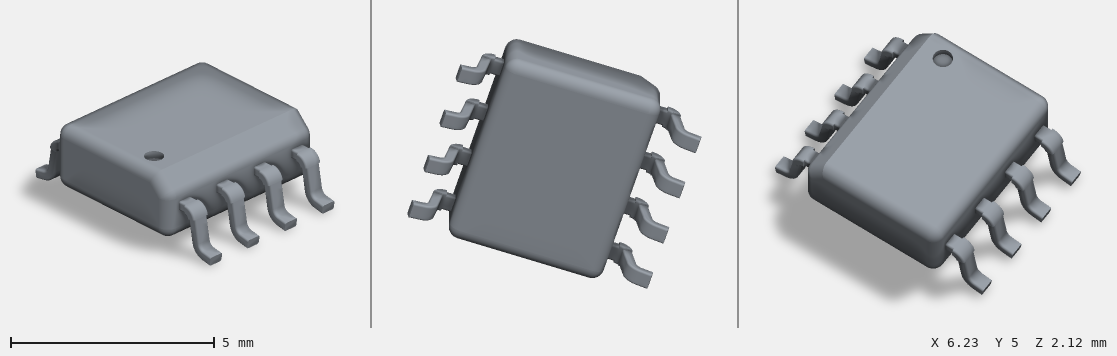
import cadquery as cq
import math

BODY_X = 3.99
BODY_Y = 5.0
BODY_Z = 1.745
BODY_ROUND = 0.3
BEVEL = 0.5

MARK_DIAMETER = 0.5
MARK_DEPTH = 0.2
MARK_X = 0.865
MARK_Y = -1.875

LEAD_SPAN = 6.23
STANDOFF = 0.375
LEADS_PER_SIDE = 4
LEAD_PITCH = 1.27
LEAD_THICKNESS = 0.25
LEAD_WIDTH = 0.4
SHOULDER_WIDTH = 0.5
LEAD_ROUND = 0.05
LEAD_Z = 0.88
STUB_LENGTH = 0.235
SHOULDER_INNER_RADIUS = 0.1
ANKLE_INNER_RADIUS = 0.19
LEAN = 10.0
ROOT_DEPTH = 0.125


def make_body():
    """Rounded block with a bevel along its top +X edge; the upper bevel edge stays sharp."""
    block = cq.Workplane("XY").box(BODY_X, BODY_Y, BODY_Z, centered=(True, True, False))
    block = block.edges(">X and >Z").chamfer(BEVEL)
    sharp_edge = block.faces(">Z").edges(">X").val()
    rounded_edges = [edge for edge in block.edges().vals() if not edge.isSame(sharp_edge)]
    body = block.newObject(rounded_edges).fillet(BODY_ROUND)
    mark = (
        cq.Workplane("XY", origin=(MARK_X, MARK_Y, BODY_Z - MARK_DEPTH))
        .circle(MARK_DIAMETER / 2)
        .extrude(MARK_DEPTH)
    )
    return body.cut(mark)


def lead_section(x, width):
    """Rounded lead cross-section in the YZ plane, facing +X."""
    outline = cq.Sketch().rect(width, LEAD_THICKNESS).vertices().fillet(LEAD_ROUND)
    return cq.Workplane("YZ", origin=(x, 0, LEAD_Z)).placeSketch(outline)


def along(point, angle, distance):
    """Point in the XZ plane at a distance from another, at an angle above +X in degrees."""
    turn = math.radians(angle)
    return (point[0] + distance * math.cos(turn), point[1] + distance * math.sin(turn))


def straight_lengths(shoulder_radius, ankle_radius):
    """Leg and foot lengths that bring the lead tip to its span and standoff."""
    sine = math.sin(math.radians(LEAN))
    cosine = math.cos(math.radians(LEAN))
    half_thickness = LEAD_THICKNESS / 2
    ankle_step = ankle_radius * (cosine - sine)

    outward = LEAD_SPAN / 2 - BODY_X / 2 - STUB_LENGTH
    outward -= shoulder_radius * cosine + ankle_step + half_thickness * sine
    downward = LEAD_Z + STANDOFF
    downward -= shoulder_radius * (1 - sine) + ankle_step + half_thickness * cosine

    determinant = cosine**2 - sine**2
    leg = (downward * cosine - outward * sine) / determinant
    foot = (outward * cosine - downward * sine) / determinant
    return leg, foot


def make_lead():
    """Lead on the +X side, centred on y = 0, with a wider shoulder at its first bend."""
    shoulder_radius = SHOULDER_INNER_RADIUS + LEAD_THICKNESS / 2
    ankle_radius = ANKLE_INNER_RADIUS + LEAD_THICKNESS / 2
    leg_length, foot_length = straight_lengths(shoulder_radius, ankle_radius)
    leg_angle = LEAN - 90
    foot_angle = -LEAN

    root = (BODY_X / 2 - ROOT_DEPTH, LEAD_Z)
    shoulder_start = (BODY_X / 2 + STUB_LENGTH, LEAD_Z)
    shoulder_centre = along(shoulder_start, -90, shoulder_radius)
    shoulder_middle = along(shoulder_centre, 90 + leg_angle / 2, shoulder_radius)
    shoulder_end = along(shoulder_centre, 90 + leg_angle, shoulder_radius)
    leg_end = along(shoulder_end, leg_angle, leg_length)
    ankle_centre = along(leg_end, leg_angle + 90, ankle_radius)
    ankle_middle = along(ankle_centre, (leg_angle + foot_angle) / 2 - 90, ankle_radius)
    ankle_end = along(ankle_centre, foot_angle - 90, ankle_radius)
    tip = along(ankle_end, foot_angle, foot_length)

    path = (
        cq.Workplane("XZ")
        .moveTo(*root)
        .lineTo(*shoulder_start)
        .threePointArc(shoulder_middle, shoulder_end)
        .lineTo(*leg_end)
        .threePointArc(ankle_middle, ankle_end)
        .lineTo(*tip)
    )
    strip = lead_section(root[0], LEAD_WIDTH).sweep(path)

    bend = cq.Workplane("XZ").moveTo(*shoulder_start).threePointArc(shoulder_middle, shoulder_end)
    shoulder = lead_section(shoulder_start[0], SHOULDER_WIDTH).sweep(bend)
    return strip.union(shoulder)


result = make_body()
lead = make_lead()
for row in range(LEADS_PER_SIDE):
    row_y = (row - (LEADS_PER_SIDE - 1) / 2) * LEAD_PITCH
    for side_angle in (0, 180):
        result = result.union(lead.rotate((0, 0, 0), (0, 0, 1), side_angle).translate((0, row_y, 0)))